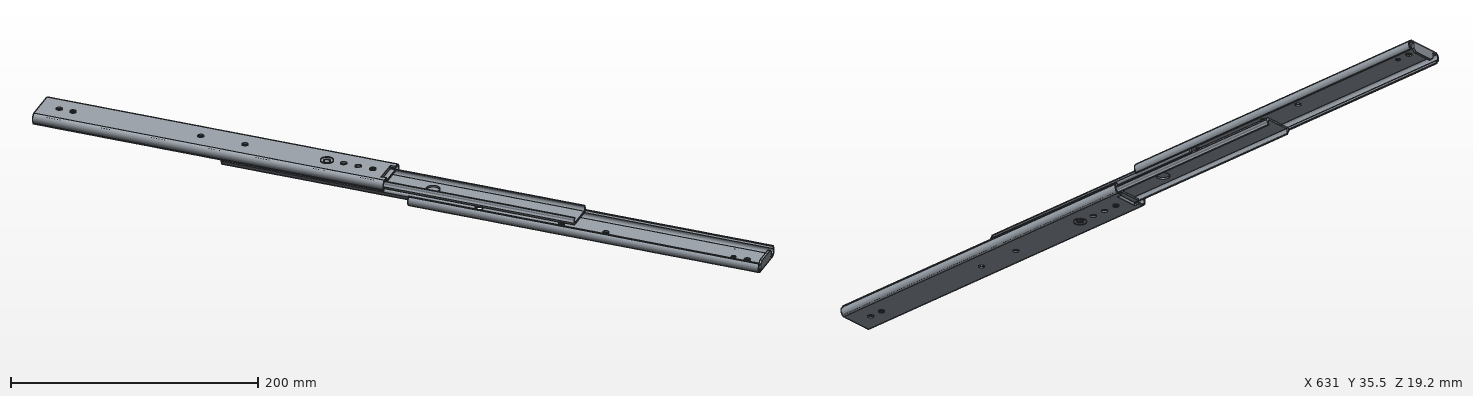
import cadquery as cq

LENGTH = 631.0
WIDTH = 35.5
RAIL_LENGTH = 304.5
RAIL_DEPTH = 9.5
RAIL_GAP = 0.2
WEB_THICKNESS = 1.6
WALL_THICKNESS = 1.0
WEB_HALF_WIDTH = 14.5
UNDERSIDE_HALF_WIDTH = 15.0
BULGE_BELOW_TOP = 5.0
LIP_HALF_WIDTH = 16.0
LIP_LAND = 0.95
LIP_SLANT_Y = 1.0
LIP_SLANT_Z = 2.2

END_TAB_HALF_WIDTH = 11.5
END_TAB_THICKNESS = 2.0
END_TAB_DEPTH = 7.0
END_TAB_CORNER = 2.5

TONGUE_LENGTH = 4.5
TONGUE_HALF_WIDTH = 10.0
TONGUE_DROP = 2.85
RISER_THICKNESS = 2.0

PLAIN_PLACES = [16.5, 139.5, 178.0, 263.5, 276.0]
PLAIN_DIAMETER = 5.0
STEPPED_PLACES = [28.5, 289.0]
STEPPED_DIAMETER = 4.0
STEPPED_HEAD_DIAMETER = 5.0
ACCESS_PLACES = [249.0]
ACCESS_DIAMETER = 5.5
ACCESS_HEAD_DIAMETER = 11.0
HEAD_DEPTH = 0.5

INNER_LENGTH = 221.0
INNER_OUTER_END = 153.0
INNER_WEB_THICKNESS = 1.6
FOOT_HALF_WIDTH = 11.0
BEND_HALF_WIDTH = 12.5
BEND_Z = 0.5
BULGE_HALF_WIDTH = 13.0
BULGE_Z = 2.5
RACE_HALF_WIDTH = 12.0
RACE_Z = 4.5
TIP_HALF_WIDTH = 11.5
TIP_Z = 6.0
TIP_THICKNESS = 0.95
INSIDE_HALF_WIDTH = 10.0
INSIDE_BULGE = 0.95

INNER_HOLE_X = 26.0
INNER_HOLE_DIAMETER = 11.5

LIP_END = RAIL_GAP / 2
TOP = LIP_END + RAIL_DEPTH
WEB_UNDERSIDE = TOP - WEB_THICKNESS
RAIL_START = -LENGTH / 2
RAIL_END = RAIL_START + RAIL_LENGTH


def box(x_range, y_half, z_range):
    """Block between two X and two Z positions, centred on Y."""
    x0, x1 = x_range
    z0, z1 = z_range
    block = cq.Workplane("XY").box(x1 - x0, 2 * y_half, z1 - z0, centered=False)
    return block.translate((x0, -y_half, z0))


def half_turn(shape):
    """The same shape turned to the other end and underside of the slide."""
    return shape.rotate((0, 0, 0), (0, 1, 0), 180)


def mirrored_section(half_outline, x_start, length):
    """Extrude a half outline along X and add its mirror image across Y = 0."""
    half = half_outline.close().extrude(length).translate((x_start, 0, 0))
    return half.union(half.mirror("XZ"))


def rail_section():
    """C section with one round wall on each side, open downwards."""
    bulge_z = TOP - BULGE_BELOW_TOP
    half = (
        cq.Workplane("YZ")
        .moveTo(0, TOP)
        .lineTo(WEB_HALF_WIDTH, TOP)
        .threePointArc((WIDTH / 2, bulge_z), (LIP_HALF_WIDTH, LIP_END + LIP_LAND))
        .lineTo(LIP_HALF_WIDTH, LIP_END)
        .lineTo(LIP_HALF_WIDTH - LIP_SLANT_Y, LIP_END + LIP_SLANT_Z)
        .threePointArc((WIDTH / 2 - WALL_THICKNESS, bulge_z), (UNDERSIDE_HALF_WIDTH, WEB_UNDERSIDE))
        .lineTo(0, WEB_UNDERSIDE)
    )
    return mirrored_section(half, RAIL_START, RAIL_LENGTH)


def end_tab():
    x_range = (RAIL_START, RAIL_START + END_TAB_THICKNESS)
    z_range = (WEB_UNDERSIDE - END_TAB_DEPTH, WEB_UNDERSIDE)
    tab = box(x_range, END_TAB_HALF_WIDTH, z_range)
    return tab.edges("|X and <Z").chamfer(END_TAB_CORNER)


def on_web(places):
    """Workplane on the top of the web with points at distances from the outer end."""
    web = cq.Workplane("XY").workplane(offset=TOP)
    return web.pushPoints([(RAIL_START + place, 0) for place in places])


def holes(places, diameter):
    return on_web(places).circle(diameter / 2).extrude(-WEB_THICKNESS)


def stepped_holes(places, diameter, head_diameter):
    """Holes with a shallow, wider head at the top of the web."""
    heads = on_web(places).circle(head_diameter / 2).extrude(-HEAD_DEPTH)
    return holes(places, diameter).union(heads)


def with_tongue(rail):
    """Replace the middle of the web's inner end by a riser and a lower tongue."""
    start = RAIL_END - TONGUE_LENGTH
    window = box((start, RAIL_END), TONGUE_HALF_WIDTH, (WEB_UNDERSIDE, TOP))
    tongue = window.translate((0, 0, -TONGUE_DROP))
    riser = box((start - RISER_THICKNESS, start), TONGUE_HALF_WIDTH, (WEB_UNDERSIDE - TONGUE_DROP, TOP))
    return rail.cut(window).union(riser).union(tongue)


def outer_rail():
    rail = with_tongue(rail_section()).union(end_tab())
    rail = rail.cut(holes(PLAIN_PLACES, PLAIN_DIAMETER))
    rail = rail.cut(stepped_holes(STEPPED_PLACES, STEPPED_DIAMETER, STEPPED_HEAD_DIAMETER))
    return rail.cut(stepped_holes(ACCESS_PLACES, ACCESS_DIAMETER, ACCESS_HEAD_DIAMETER))


def inner_channel():
    """Channel open upwards, with a V-shaped ball race outside each flange."""
    inside_middle = (INSIDE_HALF_WIDTH + INSIDE_BULGE, (TIP_Z + INNER_WEB_THICKNESS) / 2)
    half = (
        cq.Workplane("YZ")
        .moveTo(0, 0)
        .lineTo(FOOT_HALF_WIDTH, 0)
        .threePointArc((BEND_HALF_WIDTH, BEND_Z), (BULGE_HALF_WIDTH, BULGE_Z))
        .lineTo(RACE_HALF_WIDTH, RACE_Z)
        .lineTo(TIP_HALF_WIDTH, TIP_Z)
        .lineTo(TIP_HALF_WIDTH - TIP_THICKNESS, TIP_Z)
        .threePointArc(inside_middle, (INSIDE_HALF_WIDTH, INNER_WEB_THICKNESS))
        .lineTo(0, INNER_WEB_THICKNESS)
    )
    return mirrored_section(half, INNER_OUTER_END - INNER_LENGTH, INNER_LENGTH)


def double_inner_rail():
    """Two channels back to back, each with a hole through its own web only."""
    hole = cq.Workplane("XY").center(INNER_HOLE_X, 0).circle(INNER_HOLE_DIAMETER / 2)
    channel = inner_channel().cut(hole.extrude(INNER_WEB_THICKNESS))
    return channel.union(half_turn(channel))


upper_rail = outer_rail()
lower_rail = half_turn(upper_rail)
inner_rail = double_inner_rail()

result = cq.Compound.makeCompound([upper_rail.val(), lower_rail.val(), inner_rail.val()])